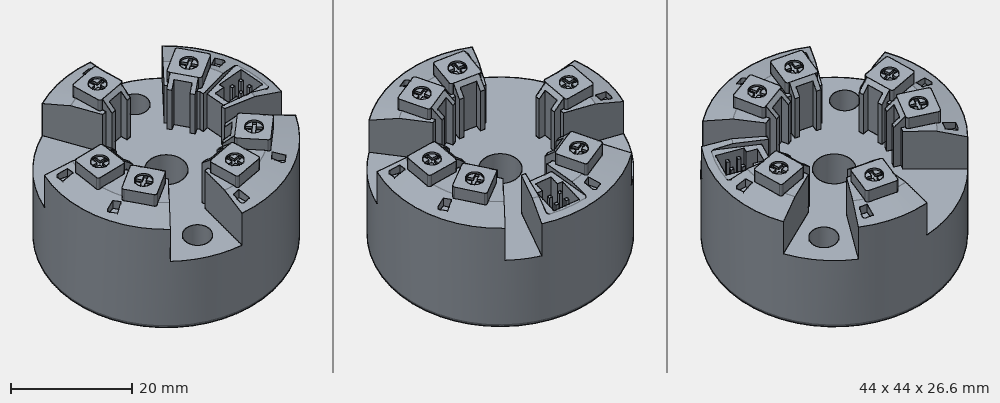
import cadquery as cq
import math

body_radius = 22
bottom_fillet = 0.95
trim_radius = 24.2
floor_z = 15.6
rim_z = 22.85
deck_z = 24.12
deck_radius = 16.95
top_z = 26.55

center_hole_diameter = 7.18
screw_hole_diameter = 4.97
screw_hole_offset = 16.5

side_gap_angle = 16.4
upper_gap_start, upper_gap_end = 86, 102
lower_gap_start, lower_gap_end = 230, 276
connector_wall_angle = 4
connector_start = upper_gap_end + connector_wall_angle
connector_end = 128
connector_angle = (connector_start + connector_end) / 2
island_face = 10.8

side_terminal_angle = 33
inner_terminal_angle = 67
terminal_angles = (
    side_terminal_angle,
    inner_terminal_angle,
    180 - side_terminal_angle,
    180 + side_terminal_angle,
    360 - inner_terminal_angle,
    360 - side_terminal_angle,
)
terminal_radius = 14.53
block_size = 6.0
block_corner = 0.45
block_bottom_z = 22

head_diameter = 3.1
head_depth = 0.4
cross_length = 2.8
cross_width = 0.65
cross_depth = 0.5

guide_width = 4.85
guide_leg = 0.9
guide_end = 9.5
guide_slope_angle = 45

marker_inner, marker_outer = 17.8, 20.05
marker_near_side = -3.0
marker_far_inner, marker_far_outer = -4.4, -4.95
marker_corner = 0.5
marker_floor_z = 22

ledge_z = 23.2
ledge_outer_radius = 20.7
ledge_corner = 0.65
connector_face = 11.95
socket_key_start, socket_start, socket_end = 13.0, 14.95, 20.05
socket_width = 4.97
socket_key_width = 3.0
pin_size = 0.57
pin_pitch = 2.0
pin_top_z = 22.8
pin_center = 17.48


def polar(radius, angle):
    """Point at a radius and an angle in degrees."""
    turn = math.radians(angle)
    return (radius * math.cos(turn), radius * math.sin(turn))


def on_face(distance, face_angle, angle):
    """Point at an angle on the flat face that lies square to face_angle."""
    return polar(distance / math.cos(math.radians(angle - face_angle)), angle)


def turned(shape, angle):
    """Turn a feature modelled along +X to its angle about the axis."""
    return shape.rotate((0, 0, 0), (0, 0, 1), angle)


def block(x_start, x_end, width, z_start, z_end):
    """Box centred on Y = 0."""
    return (
        cq.Workplane("XY", origin=((x_start + x_end) / 2, 0, z_start))
        .rect(x_end - x_start, width)
        .extrude(z_end - z_start)
    )


def sector(start, end, inner_points, outer_radius, z_start, z_end):
    """Prism between two radial sides, an outer arc and inner points listed from end to start."""
    return (
        cq.Workplane("XY", origin=(0, 0, z_start))
        .moveTo(*polar(outer_radius, start))
        .threePointArc(polar(outer_radius, (start + end) / 2), polar(outer_radius, end))
        .polyline(inner_points, includeCurrent=True)
        .close()
        .extrude(z_end - z_start)
    )


def raised_sector(start, end, distance, face_angles):
    """Sector above the floor whose inner side has one flat per face angle."""
    first, last = face_angles[0], face_angles[-1]
    points = [on_face(distance, last, end)]
    if first != last:
        points.append(on_face(distance, last, (first + last) / 2))
    points.append(on_face(distance, first, start))
    return sector(start, end, points, trim_radius, floor_z, top_z)


def edge_at(x, y):
    """Selector for the upright edge passing through a point."""
    return cq.selectors.BoxSelector((x - 0.05, y - 0.05, -top_z), (x + 0.05, y + 0.05, 2 * top_z))


def envelope():
    """Outer shape of the housing before the gaps between the islands are cut."""
    return (
        cq.Workplane("XZ")
        .polyline([(0, 0), (body_radius, 0), (body_radius, rim_z), (deck_radius, deck_z), (0, deck_z)])
        .close()
        .revolve(360, (0, 0, 0), (0, 1, 0))
        .faces("<Z")
        .edges()
        .fillet(bottom_fillet)
    )


def housing():
    upper_gap_wall = raised_sector(upper_gap_end, connector_start, island_face, (connector_angle,))
    connector = raised_sector(connector_start, connector_end, connector_face, (connector_angle,))
    islands = (
        upper_gap_wall,
        connector,
        raised_sector(side_gap_angle, upper_gap_start, island_face, terminal_angles[0:2]),
        raised_sector(connector_end, 180 - side_gap_angle, island_face, (connector_angle, terminal_angles[2])),
        raised_sector(180 + side_gap_angle, lower_gap_start, island_face, terminal_angles[3:4]),
        raised_sector(lower_gap_end, 360 - side_gap_angle, island_face, terminal_angles[4:6]),
    )
    whole = envelope()
    base = whole.intersect(cq.Workplane("XY").circle(trim_radius).extrude(floor_z))
    for island in islands:
        base = base.union(whole.intersect(island))
    return base


def ledge_recess():
    """Clearance above the connector ledge, open towards the centre."""
    start, end = connector_start, connector_end
    inner_points = [on_face(island_face, connector_angle, a) for a in (end, start)]
    recess = sector(start, end, inner_points, ledge_outer_radius, ledge_z, top_z)
    for angle in (start, end):
        recess = recess.edges(edge_at(*polar(ledge_outer_radius, angle))).fillet(ledge_corner)
    return recess


def socket():
    return block(socket_start, socket_end, socket_width, floor_z, top_z).union(
        block(socket_key_start, socket_end, socket_key_width, floor_z, top_z)
    )


def pins():
    return (
        cq.Workplane("XY", origin=(pin_center, 0, floor_z))
        .rarray(pin_pitch, pin_pitch, 2, 2)
        .rect(pin_size, pin_size)
        .extrude(pin_top_z - floor_z)
    )


def terminal_block():
    return (
        cq.Workplane("XY", origin=(terminal_radius, 0, block_bottom_z))
        .rect(block_size, block_size)
        .extrude(top_z - block_bottom_z)
        .edges("|Z")
        .fillet(block_corner)
    )


def screw_recess():
    head_z = top_z - head_depth
    head = cq.Workplane("XY", origin=(terminal_radius, 0, head_z)).circle(head_diameter / 2).extrude(head_depth)
    cross = (
        cq.Workplane("XY", origin=(terminal_radius, 0, head_z - cross_depth))
        .rect(cross_length, cross_width)
        .extrude(cross_depth)
    )
    across = cross.rotate((terminal_radius, 0, 0), (terminal_radius, 0, 1), 90)
    return head.union(cross).union(across)


def wire_guide():
    """Bar in front of the block with two legs, sloping down towards the centre."""
    block_face = terminal_radius - block_size / 2
    drop = (block_face - guide_end) * math.tan(math.radians(guide_slope_angle))
    side = (
        cq.Workplane("XZ")
        .polyline([
            (guide_end, floor_z),
            (block_face, floor_z),
            (block_face, top_z),
            (guide_end, top_z - drop),
        ])
        .close()
        .extrude(guide_width / 2, both=True)
    )
    opening = block(guide_end, island_face, guide_width - 2 * guide_leg, floor_z, top_z)
    return side.cut(opening)


def marker_recess():
    return (
        cq.Workplane("XY", origin=(0, 0, marker_floor_z))
        .polyline([
            (marker_inner, marker_near_side),
            (marker_outer, marker_near_side),
            (marker_outer, marker_far_outer),
            (marker_inner, marker_far_inner),
        ])
        .close()
        .extrude(deck_z - marker_floor_z)
        .edges(edge_at(marker_outer, marker_far_outer))
        .fillet(marker_corner)
    )


result = housing()
result = result.cut(ledge_recess())
result = result.cut(turned(socket(), connector_angle))
result = result.union(turned(pins(), connector_angle))

terminal = terminal_block().union(wire_guide()).cut(screw_recess())
for terminal_angle in terminal_angles:
    result = result.union(turned(terminal, terminal_angle))
    result = result.cut(turned(marker_recess(), terminal_angle))

result = result.cut(cq.Workplane("XY").circle(center_hole_diameter / 2).extrude(top_z))
screw_holes = (
    cq.Workplane("XY")
    .pushPoints([(-screw_hole_offset, 0), (screw_hole_offset, 0)])
    .circle(screw_hole_diameter / 2)
    .extrude(top_z)
)
result = result.cut(screw_holes)